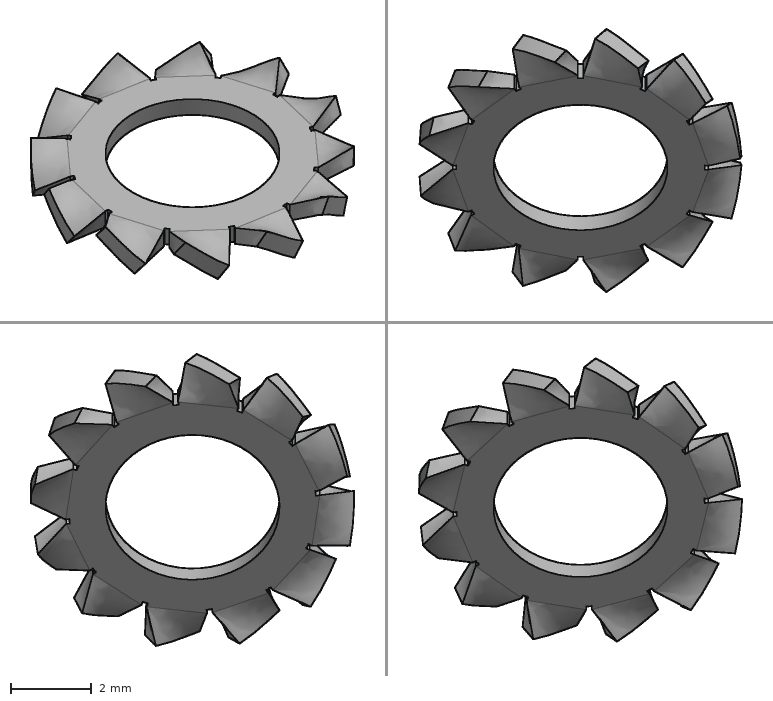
import cadquery as cq
import math

outer_diameter = 8.0
bore_diameter = 4.3
thickness = 0.5
tooth_count = 12
root_distance = 3.07
root_width = 1.51
tip_width = 1.37
tip_thickness = 0.46
twist_angle = 38.0
notch_floor_radius = 3.07
notch_width = 0.14

outer_radius = outer_diameter / 2
pitch_angle = 360.0 / tooth_count


def make_body():
    """Twelve-sided plate whose flats are the tooth roots."""
    corner_diameter = 2 * root_distance / math.cos(math.radians(pitch_angle / 2))
    return (
        cq.Workplane("XY", origin=(0, 0, -thickness / 2))
        .transformed(rotate=(0, 0, pitch_angle / 2))
        .polygon(tooth_count, corner_diameter)
        .extrude(thickness)
    )


def section_wire(distance, width, height, angle):
    """Rectangle across the +X radial axis, turned about that axis."""
    turn = math.radians(angle)
    points = []
    for side, level in ((-1, -1), (1, -1), (1, 1), (-1, 1)):
        y = side * width / 2
        z = level * height / 2
        points.append(cq.Vector(
            distance,
            y * math.cos(turn) - z * math.sin(turn),
            y * math.sin(turn) + z * math.cos(turn),
        ))
    return cq.Wire.makePolygon(points, close=True)


def make_tooth():
    """Twisted tooth along +X, with its tip trimmed to the outer cylinder."""
    root = section_wire(root_distance, root_width, thickness, 0)
    tip = section_wire(outer_radius, tip_width, tip_thickness, -twist_angle)
    blade = cq.Workplane(cq.Solid.makeLoft([root, tip], True))
    envelope = cq.Workplane("XY").circle(outer_radius).extrude(outer_radius, both=True)
    return blade.intersect(envelope)


def make_notch():
    """Cutter for the relief notch between two teeth, along +X."""
    length = outer_radius - notch_floor_radius
    return cq.Workplane("XY").box(length, notch_width, thickness).translate(
        (notch_floor_radius + length / 2, 0, 0)
    )


def rotated(shape, angle):
    return shape.rotate((0, 0, 0), (0, 0, 1), angle)


body = make_body()
notch = make_notch()
tooth = make_tooth()

for index in range(tooth_count):
    body = body.cut(rotated(notch, (index + 0.5) * pitch_angle))

for index in range(tooth_count):
    body = body.union(rotated(tooth, index * pitch_angle))

bore = cq.Workplane("XY").circle(bore_diameter / 2).extrude(thickness, both=True)
result = body.cut(bore)